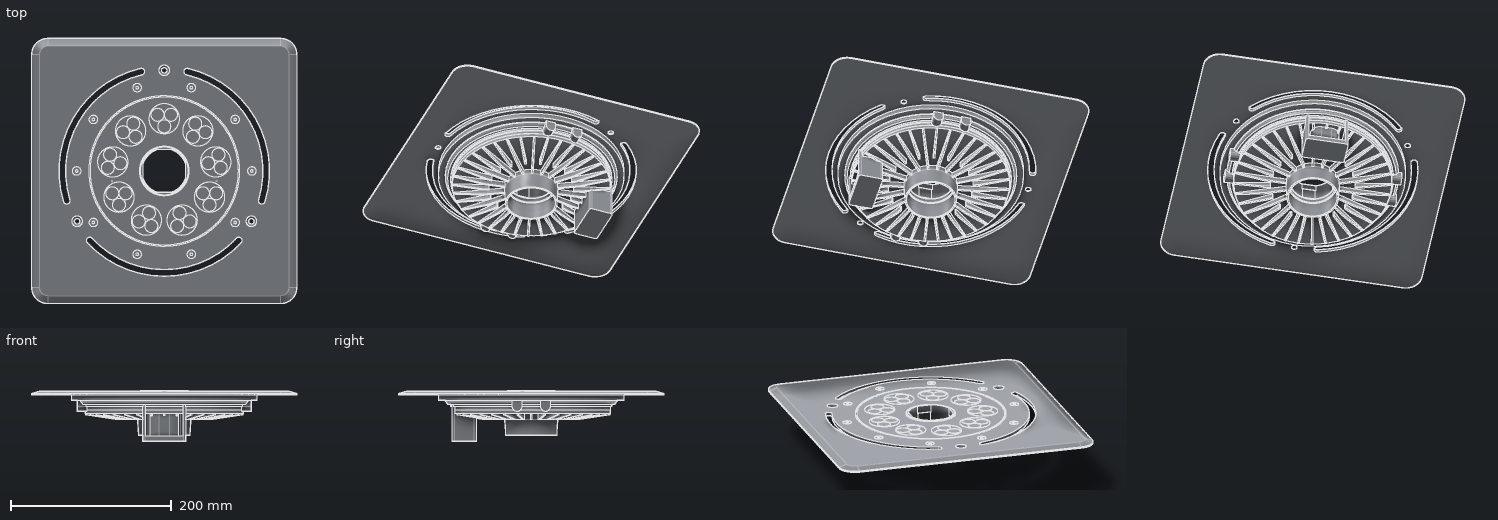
import cadquery as cq
import math

plate_side = 330.0
plate_thickness = 4.5
plate_corner_radius = 20.5
bevel_width = 10.0
bevel_height = 3.0

slot_radius = 126.7
slot_width = 8.0
slot_half_angle = 47.0
slot_angles = (30, 150, 270)
mount_radius = 125.0
mount_hole_diameter = 6.5
mount_head_diameter = 13.2
mount_angles = (90, 210, 330)

screw_count = 10
screw_radius = 109.0
screw_head_diameter = 10.5
screw_recess = 0.3
screw_socket_diameter = 3.3
screw_socket_depth = 1.5

glass_diameter = 184.0
glass_gap = 1.5
glass_gap_depth = 2.0
cluster_count = 9
cluster_radius = 65.0
cluster_diameter = 37.5
cluster_recess = 0.3
lenses_per_cluster = 3
lens_diameter = 16.2
lens_offset = 9.5

rim_diameter = 59.5
rim_top = 5.3
overall_height = 63.0
rim_gap_diameter = 61.7
rim_gap_depth = 2.0
bore_diameter = 55.8
rim_flat_width = 52.8
rim_flat_bottom = -4.0
body_flat_width = 53.5
bore_step_tops = (-20.0, -26.0)
bore_step_diameters = (57.0, 60.5)

ring_diameter = 231.0
ring_bottom = -7.0
collar_radius = 107.0
collar_bottom = -8.0
shoulder_radius = 105.5
shoulder_bottom = -9.2
taper_radius = 104.0
taper_bottom = -12.0
seat_radius = 100.3
seat_bottom = -14.5
dish_radius = 98.7
dish_seam = -18.8
dish_base_radius = 98.5
dish_bottom = -23.5

fin_count = 36
fin_thickness = 2.0
fin_root_radius = 31.5
fin_tip_radius = 97.7
fin_tip_bottom = -24.8
fin_flat_radius = 60.7
fin_bottom = -30.5
short_fin_inner_radius = 52.8
neck_top_radius = 33.3
neck_bottom_radius = 32.0
neck_bottom = -50.5

box_width = 53.5
box_front = -98.7
box_back = -68.0
box_corner_radius = 3.0
box_wall = 3.5
box_floor = 7.0
box_bottom = rim_top - overall_height
connector_width = 35.5
connector_front = -92.5
connector_corner_radius = 11.5

lug_reach = 108.2
lug_inner = 92.5
lug_width = 12.2
lug_spacing = 35.3
lug_bottom = -20.5


def polar(radius, angle):
    """Point at the given radius and angle in degrees about the central axis."""
    turn = math.radians(angle)
    return (radius * math.cos(turn), radius * math.sin(turn))


def even_angles(count, start=0.0):
    return [start + 360.0 * i / count for i in range(count)]


def disc(diameter, bottom, top, points=((0, 0),)):
    """Upright cylinders of one diameter, centred on the given points."""
    return (
        cq.Workplane("XY").workplane(offset=bottom)
        .pushPoints(points).circle(diameter / 2).extrude(top - bottom)
    )


def annulus(inner_diameter, outer_diameter, bottom, top):
    return disc(outer_diameter, bottom, top).cut(disc(inner_diameter, bottom, top))


def make_plate():
    block = (
        cq.Workplane("XY").rect(plate_side, plate_side).extrude(plate_thickness)
        .edges("|Z").fillet(plate_corner_radius)
    )
    return block.faces(">Z").edges().chamfer(bevel_height, bevel_width)


def curved_slot(middle_angle):
    first = middle_angle - slot_half_angle
    last = middle_angle + slot_half_angle
    inner = slot_radius - slot_width / 2
    outer = slot_radius + slot_width / 2
    ends = [polar(slot_radius, first), polar(slot_radius, last)]
    return (
        cq.Workplane("XY")
        .moveTo(*polar(inner, first))
        .threePointArc(polar(inner, middle_angle), polar(inner, last))
        .lineTo(*polar(outer, last))
        .threePointArc(polar(outer, middle_angle), polar(outer, first))
        .close()
        .extrude(plate_thickness)
        .union(disc(slot_width, 0, plate_thickness, ends))
    )


def cut_mounting_holes(plate):
    """Countersunk holes through the plate."""
    points = [polar(mount_radius, angle) for angle in mount_angles]
    return (
        plate.cut(disc(mount_hole_diameter, 0, plate_thickness, points))
        .cut(
            cq.Workplane("XY").pushPoints(points)
            .eachpoint(
                lambda place: cq.Solid.makeCone(
                    mount_hole_diameter / 2, mount_head_diameter / 2, plate_thickness
                ).moved(place)
            )
        )
    )


def make_housing():
    return (
        cq.Workplane("XZ")
        .moveTo(0, 0)
        .lineTo(ring_diameter / 2, 0)
        .lineTo(ring_diameter / 2, ring_bottom)
        .lineTo(collar_radius, ring_bottom)
        .lineTo(collar_radius, collar_bottom)
        .lineTo(shoulder_radius, shoulder_bottom)
        .lineTo(taper_radius, taper_bottom)
        .lineTo(seat_radius, taper_bottom)
        .lineTo(seat_radius, seat_bottom)
        .lineTo(dish_radius, seat_bottom)
        .lineTo(dish_radius, dish_seam)
        .lineTo(dish_base_radius, dish_seam)
        .lineTo(dish_base_radius, dish_bottom)
        .lineTo(neck_top_radius, dish_bottom)
        .lineTo(neck_top_radius, fin_bottom)
        .lineTo(neck_bottom_radius, neck_bottom)
        .lineTo(0, neck_bottom)
        .close()
        .revolve(360, (0, 0), (0, 1))
    )


def fin(angle, inner_radius):
    """One radial fin, running up into the dish so that the two join."""
    points = [
        (inner_radius, taper_bottom),
        (fin_tip_radius, taper_bottom),
        (fin_tip_radius, fin_tip_bottom),
        (fin_flat_radius, fin_bottom),
        (inner_radius, fin_bottom),
    ]
    blade = cq.Workplane("XZ").polyline(points).close().extrude(fin_thickness / 2, both=True)
    return blade.rotate((0, 0, 0), (0, 0, 1), angle)


def make_connector_box():
    middle = (box_front + box_back) / 2
    depth = box_back - box_front
    shell = (
        cq.Workplane("XY").workplane(offset=box_bottom)
        .center(0, middle).rect(box_width, depth).extrude(taper_bottom - box_bottom)
        .edges("|Z").fillet(box_corner_radius)
    )
    floor_top = box_bottom + box_floor
    height = taper_bottom - floor_top
    hollow = (
        cq.Workplane("XY").workplane(offset=floor_top)
        .center(0, middle - box_wall).rect(box_width - 2 * box_wall, depth).extrude(height)
        .edges("|Z and >Y").fillet(box_corner_radius)
    )
    connector = (
        cq.Workplane("XY").workplane(offset=floor_top)
        .center(0, (connector_front + box_back) / 2)
        .rect(connector_width, box_back - connector_front).extrude(height)
        .edges("|Z and <Y").fillet(connector_corner_radius)
        .intersect(shell)
    )
    return shell.cut(hollow).union(connector)


def lug(side, y):
    """A round-bottomed block reaching outward from the dish on the given side (-1 or 1)."""
    half = lug_width / 2
    return (
        cq.Workplane("YZ").workplane(offset=side * lug_inner)
        .moveTo(y - half, ring_bottom)
        .lineTo(y - half, lug_bottom + half)
        .threePointArc((y, lug_bottom), (y + half, lug_bottom + half))
        .lineTo(y + half, ring_bottom)
        .close()
        .extrude(side * (lug_reach - lug_inner))
    )


def cut_lens_clusters(body):
    """Sink each cluster slightly below the glass and leave its lenses standing flush."""
    recess_bottom = plate_thickness - cluster_recess
    for cluster_angle in even_angles(cluster_count, 90):
        center_x, center_y = polar(cluster_radius, cluster_angle)
        lens_points = []
        for lens_angle in even_angles(lenses_per_cluster, cluster_angle + 180):
            offset_x, offset_y = polar(lens_offset, lens_angle)
            lens_points.append((center_x + offset_x, center_y + offset_y))
        recess = disc(cluster_diameter, recess_bottom, plate_thickness, [(center_x, center_y)])
        lenses = disc(lens_diameter, recess_bottom, plate_thickness, lens_points)
        body = body.cut(recess.cut(lenses))
    return body


def cut_screws(body):
    points = [polar(screw_radius, angle) for angle in even_angles(screw_count)]
    body = body.cut(disc(screw_head_diameter, plate_thickness - screw_recess, plate_thickness, points))
    return body.cut(disc(screw_socket_diameter, plate_thickness - screw_socket_depth, plate_thickness, points))


def square_prism(width, bottom, top):
    return cq.Workplane("XY").workplane(offset=bottom).rect(width, width).extrude(top - bottom)


def make_bore():
    flats = square_prism(rim_flat_width, rim_flat_bottom, rim_top).union(
        square_prism(body_flat_width, neck_bottom, rim_flat_bottom)
    )
    bore = disc(bore_diameter, neck_bottom, rim_top).intersect(flats)
    for diameter, top in zip(bore_step_diameters, bore_step_tops):
        bore = bore.union(disc(diameter, neck_bottom, top))
    return bore


plate = make_plate()
for slot_angle in slot_angles:
    plate = plate.cut(curved_slot(slot_angle))
plate = cut_mounting_holes(plate)

body = plate.union(make_housing())
for index, fin_angle in enumerate(even_angles(fin_count)):
    is_long = index % 2 == 0
    body = body.union(fin(fin_angle, fin_root_radius if is_long else short_fin_inner_radius))
body = body.union(make_connector_box())
for lug_side in (-1, 1):
    for lug_y in (-lug_spacing / 2, lug_spacing / 2):
        body = body.union(lug(lug_side, lug_y))

glass_opening = glass_diameter + 2 * glass_gap
body = body.cut(annulus(glass_diameter, glass_opening, plate_thickness - glass_gap_depth, plate_thickness))
body = cut_lens_clusters(body)
body = cut_screws(body)

body = body.union(disc(rim_diameter, 0, rim_top))
body = body.cut(annulus(rim_diameter, rim_gap_diameter, plate_thickness - rim_gap_depth, plate_thickness))
result = body.cut(make_bore())